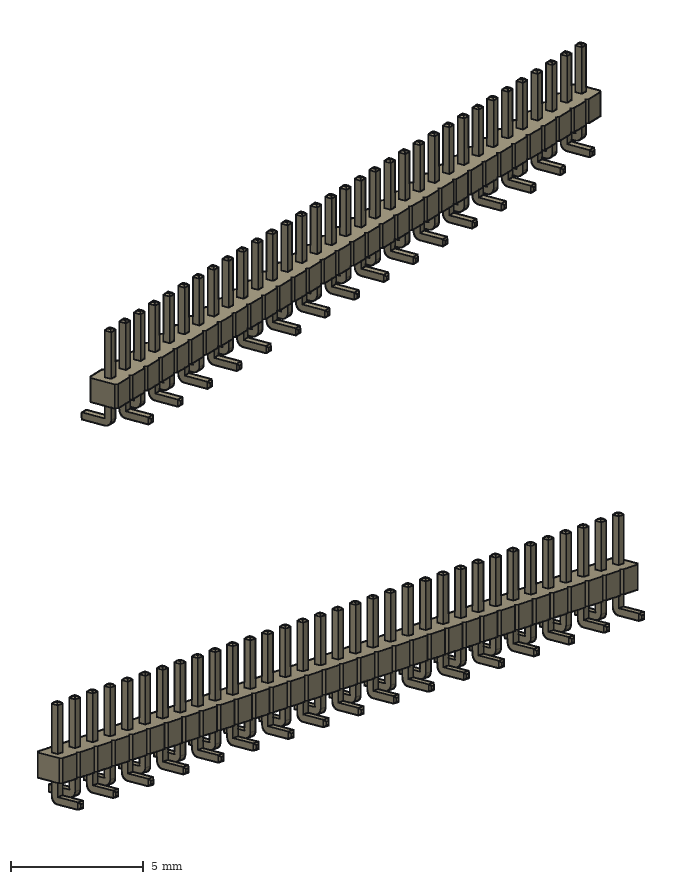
import math

import cadquery as cq

PIN_COUNT = 33
PITCH = 1.0

HEIGHT = 4.0
FOOT_SPAN = 2.5
FOOT_REACH = FOOT_SPAN / 2

BODY_WIDTH = 1.27
BODY_HEIGHT = 1.0
BODY_BOTTOM = 1.0
BODY_CHAMFER = 0.1

PIN_SIZE = 0.3
HALF_PIN = PIN_SIZE / 2
TIP_CHAMFER = PIN_SIZE / 4


def make_body_segment():
    """Body block around one pin, with its four upright corners cut."""
    return (
        cq.Workplane("XY")
        .workplane(offset=BODY_BOTTOM)
        .box(BODY_WIDTH, PITCH, BODY_HEIGHT, centered=(True, True, False))
        .edges("|Z")
        .chamfer(BODY_CHAMFER)
    )


def make_left_pin():
    """L-shaped square pin whose foot points toward -X, with both ends tapered.

    The outside of the bend is an arc centred on the sharp inside corner.
    """
    bend_middle = PIN_SIZE * math.sqrt(0.5)
    pin = (
        cq.Workplane("XZ")
        .moveTo(-FOOT_REACH, 0)
        .lineTo(-HALF_PIN, 0)
        .threePointArc((-HALF_PIN + bend_middle, PIN_SIZE - bend_middle), (HALF_PIN, PIN_SIZE))
        .lineTo(HALF_PIN, HEIGHT)
        .lineTo(-HALF_PIN, HEIGHT)
        .lineTo(-HALF_PIN, PIN_SIZE)
        .lineTo(-FOOT_REACH, PIN_SIZE)
        .close()
        .extrude(HALF_PIN, both=True)
    )
    for pin_end in (">Z", "<X"):
        pin = pin.faces(pin_end).chamfer(TIP_CHAMFER)
    return pin


def make_header():
    """Join the body segments and pins along the row, feet alternating left and right."""
    segment = make_body_segment()
    left_pin = make_left_pin()
    right_pin = left_pin.rotate((0, 0, 0), (0, 0, 1), 180)
    first_y = -(PIN_COUNT - 1) * PITCH / 2

    solids = []
    for index in range(PIN_COUNT):
        position = (0, first_y + index * PITCH, 0)
        pin = left_pin if index % 2 == 0 else right_pin
        solids.append(segment.translate(position).val())
        solids.append(pin.translate(position).val())
    header = solids[0].fuse(*solids[1:]).clean()
    return cq.Workplane(header.Solids()[0])


result = make_header()